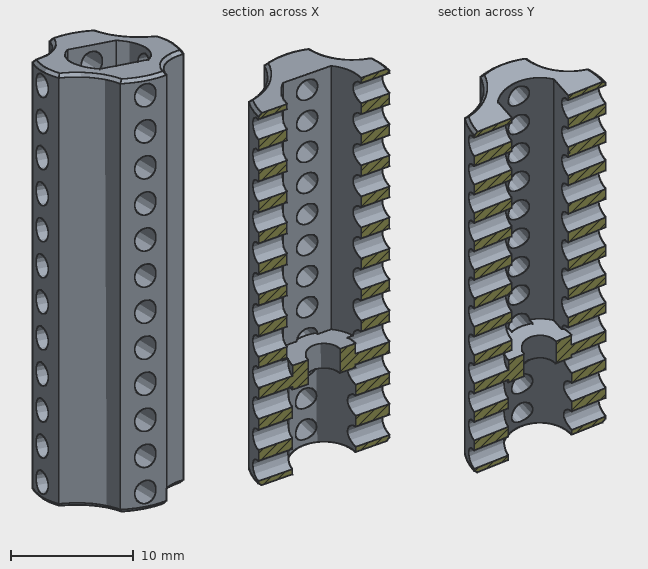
import cadquery as cq
import math

length = 37.5
outer_diameter = 12.5
outer_radius = outer_diameter / 2
lobe_count = 4
lobe_half_width = 2.18
groove_bottom_radius = 4.88
end_chamfer = 0.3

holes_per_row = 12
hole_pitch = length / holes_per_row
hole_diameter = 2.0

socket_diameter = 7.0
socket_flat_width = 5.32
web_bottom = 8.5
web_top = 11.0
bore_diameter = 6.0
web_hole_diameter = 3.0


def polar_point(radius, angle_degrees):
    angle = math.radians(angle_degrees)
    return (radius * math.cos(angle), radius * math.sin(angle))


def make_body():
    """Four-lobed bar: convex lobe tips joined by concave grooves."""
    lobe_half_angle = math.degrees(math.asin(lobe_half_width / outer_radius))
    lobe_step = 360 / lobe_count
    outline = cq.Workplane("XY").moveTo(*polar_point(outer_radius, -lobe_half_angle))
    for lobe in range(lobe_count):
        lobe_angle = lobe * lobe_step
        outline = outline.threePointArc(
            polar_point(outer_radius, lobe_angle),
            polar_point(outer_radius, lobe_angle + lobe_half_angle),
        )
        outline = outline.threePointArc(
            polar_point(groove_bottom_radius, lobe_angle + lobe_step / 2),
            polar_point(outer_radius, lobe_angle + lobe_step - lobe_half_angle),
        )
    body = outline.close().extrude(length)
    return body.faces("<Z or >Z").chamfer(end_chamfer)


def make_radial_holes():
    """Cross holes into the interior, stopping short of the round web."""
    heights = [(0, (row + 0.5) * hole_pitch) for row in range(holes_per_row)]
    along_x = cq.Workplane("YZ").pushPoints(heights).circle(hole_diameter / 2)
    drills = along_x.extrude(outer_radius, both=True)
    drills = drills.union(drills.rotate((0, 0, 0), (0, 0, 1), 90))
    web = cq.Workplane("XY").workplane(offset=web_bottom)
    web = web.circle(bore_diameter / 2).extrude(web_top - web_bottom)
    return drills.cut(web)


def make_socket():
    """Round socket with flats on the X sides, open at the top."""
    socket_depth = length - web_top
    base = cq.Workplane("XY").workplane(offset=web_top)
    flats = base.rect(socket_flat_width, socket_diameter).extrude(socket_depth)
    return base.circle(socket_diameter / 2).extrude(socket_depth).intersect(flats)


def make_bore(diameter, depth):
    """Axial bore upward from the bottom end."""
    return cq.Workplane("XY").circle(diameter / 2).extrude(depth)


result = (
    make_body()
    .cut(make_radial_holes())
    .cut(make_socket())
    .cut(make_bore(bore_diameter, web_bottom))
    .cut(make_bore(web_hole_diameter, web_top))
)